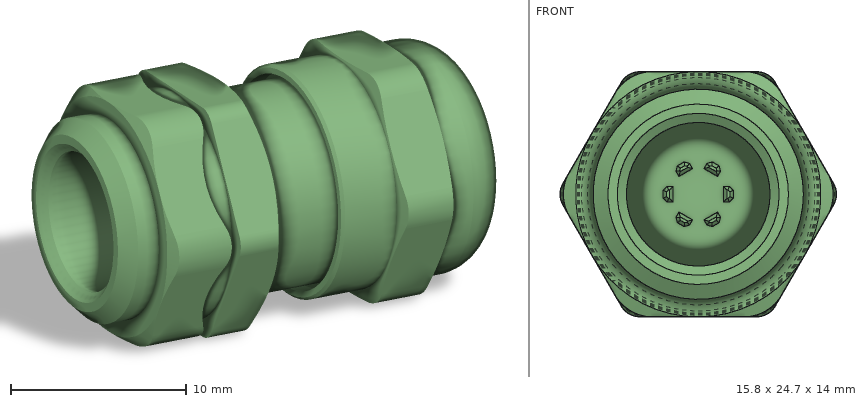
import cadquery as cq
import math

total_length = 24.7
across_flats = 14.0
flat_radius = across_flats / 2

body_radius = 12.0 / 2
tip_radius = 10.3 / 2
tip_chamfer = body_radius - tip_radius

bore_radius = 8.2 / 2
bore_mouth_radius = 9.25 / 2
bore_mouth_chamfer = bore_mouth_radius - bore_radius

cap_radius = 13.7 / 2
cap_start = 13.7
cap_round = 2.5
cap_rim_chamfer = 0.17
cap_recess_radius = 6.33
cap_recess_depth = 1.0

cap_hex_start = 17.2
cap_hex_end = 20.68
cap_hex_corner_round = 2.0
cap_hex_chamfer_angle = 17

bore_depth = cap_start

flange_start = 6.5
flange_end = 9.55
flange_corner_round = 1.24
flange_face_radius = 6.9

nut_start = 2.2
nut_corner_round = 2.5
nut_rim_height = 6.03
nut_corner_radius = 7.7
hex_chamfer_angle = 30

seal_radius = 6.85
seal_round = 1.09
seal_height = 1.38
seat_height = flange_start - seal_height
seat_radius = 6.92

bump_count = 6
bump_inner = 1.43
bump_outer = 2.0
bump_width = 0.9
bump_corner = 0.22
bump_height = 0.35
bump_taper = 30

corner_limit = flat_radius / math.cos(math.radians(30))


def revolve_about_y(profile):
    """Turn a closed (radius, y) profile around the Y axis."""
    return profile.close().revolve(360, (0, 0, 0), (0, 1, 0))


def hex_prism(start, end, corner_round):
    """Hexagon along Y with flats facing up and down and rounded corners."""
    return (
        cq.Workplane("XZ", origin=(0, start, 0))
        .polygon(6, 2 * corner_limit)
        .extrude(start - end)
        .edges("|Y")
        .fillet(corner_round)
    )


def chamfer_drop(face_radius, angle):
    """Axial length of a conical chamfer from its face circle to the sharp corner."""
    return (corner_limit - face_radius) * math.tan(math.radians(angle))


def make_body():
    profile = cq.Workplane("XY").polyline([
        (0, 0),
        (tip_radius, 0),
        (body_radius, tip_chamfer),
        (body_radius, cap_start + cap_round),
        (0, cap_start + cap_round),
    ])
    return revolve_about_y(profile)


def make_cap():
    """Domed cap with an annular recess around the body at its open end."""
    diagonal = cap_round * math.sqrt(0.5)
    round_start = total_length - cap_round
    profile = (
        cq.Workplane("XY")
        .moveTo(0, cap_start + cap_recess_depth)
        .lineTo(cap_recess_radius, cap_start + cap_recess_depth)
        .lineTo(cap_recess_radius, cap_start)
        .lineTo(cap_radius - cap_rim_chamfer, cap_start)
        .lineTo(cap_radius, cap_start + cap_rim_chamfer)
        .lineTo(cap_radius, round_start)
        .threePointArc(
            (cap_radius - cap_round + diagonal, round_start + diagonal),
            (cap_radius - cap_round, total_length),
        )
        .lineTo(0, total_length)
    )
    return revolve_about_y(profile)


def make_cap_hex():
    drop = chamfer_drop(cap_radius, cap_hex_chamfer_angle)
    envelope = cq.Workplane("XY").polyline([
        (0, cap_hex_start),
        (cap_radius, cap_hex_start),
        (corner_limit, cap_hex_start + drop),
        (corner_limit, cap_hex_end - drop),
        (cap_radius, cap_hex_end),
        (0, cap_hex_end),
    ])
    prism = hex_prism(cap_hex_start, cap_hex_end, cap_hex_corner_round)
    return prism.intersect(revolve_about_y(envelope))


def make_flange():
    drop = chamfer_drop(flange_face_radius, hex_chamfer_angle)
    envelope = cq.Workplane("XY").polyline([
        (0, flange_start),
        (corner_limit, flange_start),
        (corner_limit, flange_end - drop),
        (flange_face_radius, flange_end),
        (0, flange_end),
    ])
    prism = hex_prism(flange_start, flange_end, flange_corner_round)
    return prism.intersect(revolve_about_y(envelope))


def make_lock_nut():
    drop = chamfer_drop(flat_radius, hex_chamfer_angle)
    seat_slope = (nut_rim_height - seat_height) / (nut_corner_radius - seat_radius)
    seat_end = seat_height + (corner_limit - seat_radius) * seat_slope
    envelope = cq.Workplane("XY").polyline([
        (0, nut_start),
        (flat_radius, nut_start),
        (corner_limit, nut_start + drop),
        (corner_limit, seat_end),
        (seat_radius, seat_height),
        (0, seat_height),
    ])
    prism = hex_prism(nut_start, seat_end, nut_corner_round)
    return prism.intersect(revolve_about_y(envelope))


def make_seal():
    """Round seal ring resting on the nut and partly sunk in the flange and the body."""
    round_radius = seal_radius - seal_round
    profile = (
        cq.Workplane("XY")
        .moveTo(0, seat_height)
        .lineTo(round_radius, seat_height)
        .threePointArc(
            (seal_radius, seat_height + seal_round),
            (round_radius, seat_height + 2 * seal_round),
        )
        .lineTo(0, seat_height + 2 * seal_round)
    )
    return revolve_about_y(profile)


def make_bore():
    """Blind bore with a chamfered mouth, ending level with the start of the cap."""
    profile = cq.Workplane("XY").polyline([
        (0, 0),
        (bore_mouth_radius, 0),
        (bore_radius, bore_mouth_chamfer),
        (bore_radius, bore_depth),
        (0, bore_depth),
    ])
    return revolve_about_y(profile)


def make_bump():
    """Tapered bump on the +X side of the bore floor, pointing at the mouth."""
    half_width = bump_width / 2
    return (
        cq.Workplane("XZ", origin=(0, bore_depth, 0))
        .polyline([
            (bump_inner, -half_width),
            (bump_outer - bump_corner, -half_width),
            (bump_outer, -half_width + bump_corner),
            (bump_outer, half_width - bump_corner),
            (bump_outer - bump_corner, half_width),
            (bump_inner, half_width),
        ])
        .close()
        .extrude(bump_height, taper=bump_taper)
    )


result = make_body()
for piece in (make_cap(), make_cap_hex(), make_flange(), make_lock_nut(), make_seal()):
    result = result.union(piece)
result = result.cut(make_bore())

bump = make_bump()
for index in range(bump_count):
    result = result.union(bump.rotate((0, 0, 0), (0, 1, 0), index * 360 / bump_count))